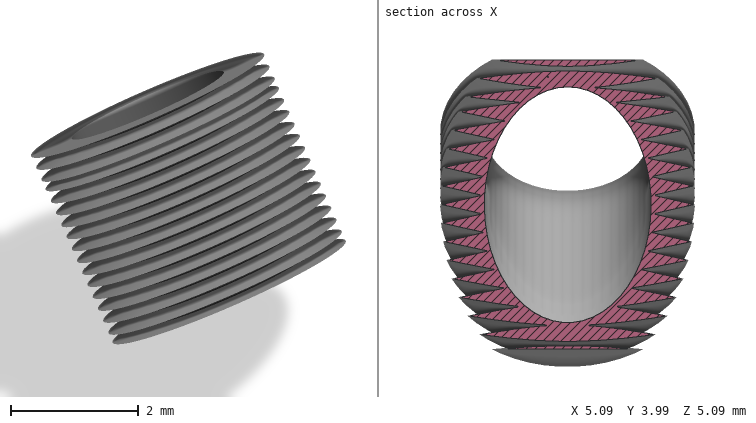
import cadquery as cq
import math

overall_side = 5.09
outer_diameter = 3.99
bore_diameter = 2.605
groove_depth = 0.63
groove_count = 16
short_flank = 0.06
short_upper_flank_groove = 2
short_lower_flank_groove = groove_count - 1
tilt = 45.0

outer_radius = outer_diameter / 2
bore_radius = bore_diameter / 2
root_radius = outer_radius - groove_depth
length = overall_side * math.sqrt(2) - outer_diameter
regular_flank = (length - 2 * short_flank) / (2 * groove_count - 2)


def sleeve_profile():
    """Half section in XZ: plain bore, sharp crests and V grooves, from the top end down."""
    height = length / 2
    points = [(bore_radius, height), (outer_radius, height)]
    for groove in range(groove_count):
        upper_flank = short_flank if groove == short_upper_flank_groove else regular_flank
        lower_flank = short_flank if groove == short_lower_flank_groove else regular_flank
        height -= upper_flank
        points.append((root_radius, height))
        height -= lower_flank
        points.append((outer_radius, height))
    points.append((bore_radius, height))
    return cq.Workplane("XZ").polyline(points).close()


sleeve = sleeve_profile().revolve(360, (0, 0, 0), (0, 1, 0))
result = sleeve.rotate((0, 0, 0), (0, 1, 0), -tilt)